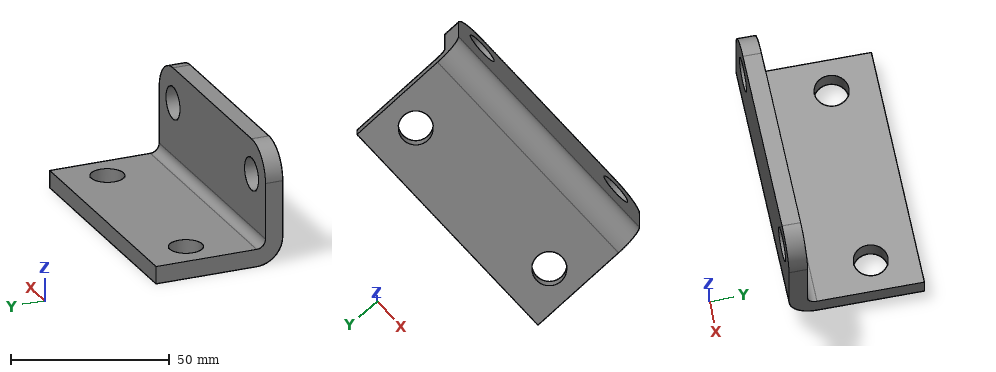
import cadquery as cq

length = 84.0
depth = 43.5
height = 39.0

thickness = 6.0
inner_bend_radius = 3.0
outer_bend_radius = inner_bend_radius + thickness

corner_radius = 11.0

hole_diameter = 11.0
hole_end_distance = 11.0
upright_hole_from_top = 12.0
base_hole_from_back = 15.0
hole_spacing = length - 2 * hole_end_distance


def make_angle():
    """L-shaped sheet, centred on X, with the upright's outer face at Y = 0 and the base on Z = 0."""
    profile = (
        cq.Workplane("YZ")
        .moveTo(0, 0)
        .lineTo(depth, 0)
        .lineTo(depth, thickness)
        .lineTo(thickness, thickness)
        .lineTo(thickness, height)
        .lineTo(0, height)
        .close()
    )
    angle = profile.extrude(length / 2, both=True)
    angle = angle.edges("|X and <Y and <Z").fillet(outer_bend_radius)
    inner_corner = cq.selectors.NearestToPointSelector((0, thickness, thickness))
    return angle.edges("|X").edges(inner_corner).fillet(inner_bend_radius)


def make_hole_pair(plane, offset, reach):
    """Two cylinders spaced along X, at the given offset in the plane, extending by reach to both sides."""
    return (
        cq.Workplane(plane)
        .pushPoints([(side * hole_spacing / 2, offset) for side in (-1, 1)])
        .circle(hole_diameter / 2)
        .extrude(reach, both=True)
    )


bracket = make_angle()
bracket = bracket.faces(">Z").edges("|Y").fillet(corner_radius)

cut_reach = 1.5 * thickness
upright_holes = make_hole_pair("XZ", height - upright_hole_from_top, cut_reach)
base_holes = make_hole_pair("XY", depth - base_hole_from_back, cut_reach)

result = bracket.cut(upright_holes).cut(base_holes)